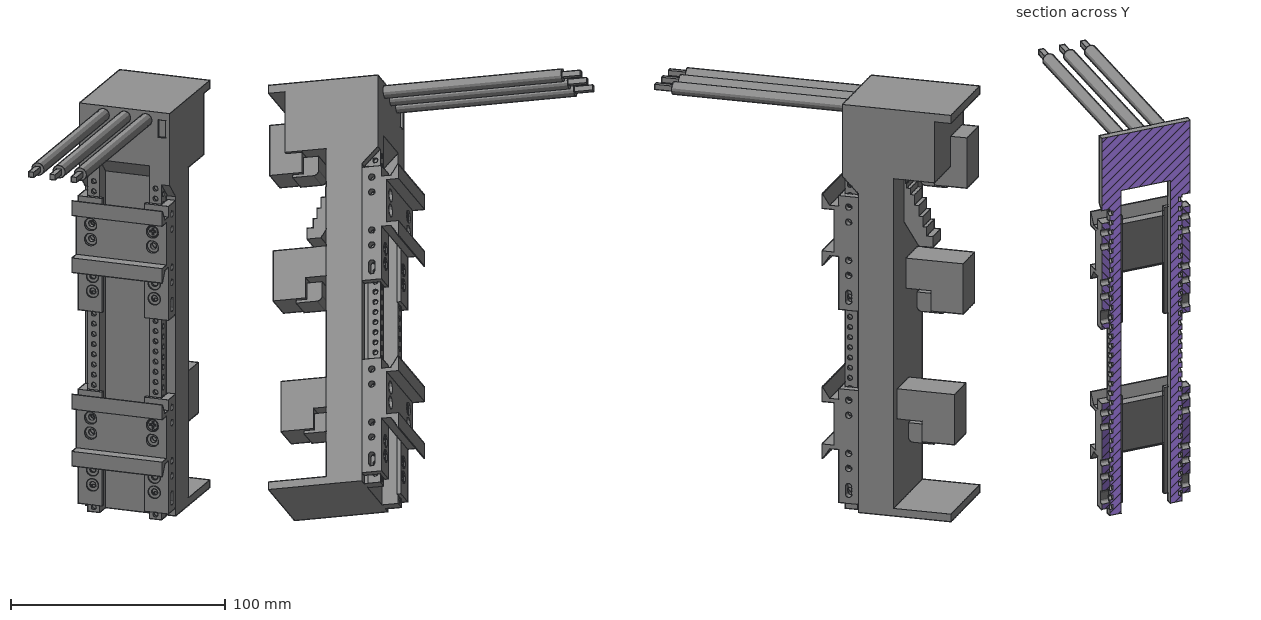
import cadquery as cq


width = 45.0
half_width = width / 2
height = 200.0
depth = 53.0
back_y = 25.0
head_y = 45.0
head_z = 166.0
flange_thickness = 4.0
foot_thickness = 3.8

floor_y = 7.8
rail_inner_x = 12.5
rail_outer_x = 18.5
rail_x = (rail_inner_x + rail_outer_x) / 2
side_recess_z = 164.5
centre_recess_z = 173.2
groove_depth = 0.5
groove_height = 1.8
rail_hole_diameter = 2.5
rail_hole_depth = 1.5
rail_hole_pitch = 5.0
front_hole_z = 2.5
front_hole_count = 33
side_hole_z = 4.5
side_hole_y = 2.5
side_hole_count = 32

pocket_width = 3.8
pocket_height = 8.5
pocket_depth = 1.2
pocket_x = 18.5
pocket_z = 192.0

hook_width = 18.0
hook_top_z = 180.8
hook_pitch = 60.0
hook_height = 24.8
hook_neck_height = hook_top_z - head_z
hook_tip_y = 37.2
hook_left_x = [-20.5, -14.5, -1.2]
contact_inset = 2.0
contact_near_y = 29.8
contact_far_y = 42.5
contact_gap = 2.0
contact_overhang = 1.5
contact_radius = 2.5

lever_width = 12.0
lever_top_reach = 0.5
lever_top_z = 164.5
lever_tip_reach = 14.0
lever_steps = [
    (1.2, 158.5),
    (3.0, 156.2),
    (5.0, 153.2),
    (7.2, 148.2),
    (9.2, 143.0),
    (11.0, 138.0),
    (lever_tip_reach, 133.5),
]
lever_heel_reach = 7.2
lever_bottom_z = 128.2
lever_root_z = 139.5

carrier_top_z = [155.0, 60.0]
carrier_height = 56.0
carrier_front_y = -1.8
carrier_inner_x = 10.5
plate_y = -4.2
din_axis_drop = 17.5
jaw_tip_y = -10.0
jaw_tip_thickness = 0.5
jaw_root_y = -6.2
jaw_inner = 10.5
jaw_outer = 12.5
screw_drops = [12.5, 20.0, 38.8, 46.2]
screw_seat_diameter = 6.0
plate_seat_depth = 1.5
leg_seat_depth = 0.5
screw_hole_diameter = 3.0
side_bore_y = 3.0
side_bore_diameter = 3.0
side_bore_drops = [5.2, 12.5, 31.5, 38.8]
side_slot_drop = 49.5
side_slot_length = 6.8

screw_head_diameter = 5.0
screw_head_thickness = 1.0
cross_length = 3.2
cross_width = 0.8
cross_depth = 0.5

cable_diameter = 6.0
cable_pitch = 10.5
cable_z = 195.5
cable_length = 86.2
conductor_side = 2.5
conductor_length = 8.8


def box(x_range, y_range, z_range):
    """Axis-aligned block between the given limits."""
    (x0, x1), (y0, y1), (z0, z1) = x_range, y_range, z_range
    return cq.Workplane("XY").box(x1 - x0, y1 - y0, z1 - z0, centered=False).translate((x0, y0, z0))


def side_profile(points, x_start, x_end):
    """Prism with a (y, z) outline, running along X."""
    return cq.Workplane("YZ").workplane(offset=x_start).polyline(points).close().extrude(x_end - x_start)


def bore_y(x, z, diameter, y_start, y_end):
    """Cylinder along Y."""
    length = y_end - y_start
    axis = cq.Vector(0, 1, 0)
    return cq.Workplane(cq.Solid.makeCylinder(diameter / 2, length, cq.Vector(x, y_start, z), axis))


def bore_x(y, z, diameter, x_start, x_end):
    """Cylinder along X."""
    length = x_end - x_start
    axis = cq.Vector(1, 0, 0)
    return cq.Workplane(cq.Solid.makeCylinder(diameter / 2, length, cq.Vector(x_start, y, z), axis))


def compound(shapes):
    """Tools gathered in one workplane, for a single cut."""
    return cq.Workplane(cq.Compound.makeCompound([shape.val() for shape in shapes]))


def make_hook(left_x, top_z):
    """Busbar hook with a contact behind its tip, both part of the housing."""
    neck_z = top_z - hook_neck_height
    bottom_z = top_z - hook_height
    outline = [
        (back_y, top_z),
        (depth, top_z),
        (depth, bottom_z),
        (hook_tip_y, bottom_z),
        (hook_tip_y, neck_z),
        (back_y, neck_z),
    ]
    right_x = left_x + hook_width
    contact = box(
        (left_x + contact_inset, right_x - contact_inset),
        (contact_near_y, contact_far_y),
        (bottom_z - contact_overhang, neck_z - contact_gap),
    )
    contact = contact.edges("|X and <Y and <Z").fillet(contact_radius)
    return side_profile(outline, left_x, right_x).union(contact)


def make_lever():
    """Lever on the busbar side: a slim top, stepped ledges and a sloped underside."""
    outline = [(back_y, lever_top_z), (back_y + lever_top_reach, lever_top_z)]
    for reach, ledge_z in lever_steps:
        outline.append((outline[-1][0], ledge_z))
        outline.append((back_y + reach, ledge_z))
    outline += [
        (back_y + lever_tip_reach, lever_bottom_z),
        (back_y + lever_heel_reach, lever_bottom_z),
        (back_y, lever_root_z),
    ]
    return side_profile(outline, -lever_width / 2, lever_width / 2)


def recess(x_start, x_end, top_z):
    """Recess open at the bottom and to the mounting side, with a 45 degree top."""
    outline = [(0, 0), (0, top_z), (floor_y, top_z - floor_y), (floor_y, 0)]
    return side_profile(outline, x_start, x_end)


def rail_holes():
    """Blind holes in the front and the outer side of the right rail."""
    tools = []
    for index in range(front_hole_count):
        z = front_hole_z + index * rail_hole_pitch
        tools.append(bore_y(rail_x, z, rail_hole_diameter, 0, rail_hole_depth))
    for index in range(side_hole_count):
        z = side_hole_z + index * rail_hole_pitch
        inner_x = rail_outer_x - rail_hole_depth
        tools.append(bore_x(side_hole_y, z, rail_hole_diameter, inner_x, rail_outer_x))
    return compound(tools)


def make_housing():
    """Column with head, foot, rails, hooks and latch lever."""
    outline = [
        (0, 0),
        (depth, 0),
        (depth, foot_thickness),
        (back_y, foot_thickness),
        (back_y, head_z),
        (head_y, head_z),
        (head_y, height - flange_thickness),
        (depth, height - flange_thickness),
        (depth, height),
        (0, height),
    ]
    body = side_profile(outline, -half_width, half_width)

    body = body.cut(recess(-rail_inner_x, rail_inner_x, centre_recess_z))
    side_recess = recess(rail_outer_x, half_width, side_recess_z)
    groove = box(
        (rail_outer_x - groove_depth, rail_outer_x),
        (floor_y - groove_height, floor_y),
        (0, side_recess_z - floor_y),
    )
    holes = rail_holes()
    for tool in (side_recess, groove, holes):
        body = body.cut(tool).cut(tool.mirror("YZ"))

    pocket = box(
        (pocket_x - pocket_width / 2, pocket_x + pocket_width / 2),
        (0, pocket_depth),
        (pocket_z - pocket_height / 2, pocket_z + pocket_height / 2),
    )
    body = body.cut(pocket)

    for index, left_x in enumerate(hook_left_x):
        body = body.union(make_hook(left_x, hook_top_z - index * hook_pitch))
    return body.union(make_lever())


def screw_seat(drop):
    """Face of the carrier and floor of its counterbore, at the given distance below its top."""
    on_plate = abs(drop - din_axis_drop) < jaw_inner
    face_y = plate_y if on_plate else carrier_front_y
    seat_depth = plate_seat_depth if on_plate else leg_seat_depth
    return face_y, face_y + seat_depth


def make_jaw(axis_z, direction):
    """Half of the DIN rail plate with its hooked jaw, above (+1) or below (-1) the rail axis."""
    outline = [
        (carrier_front_y, axis_z),
        (carrier_front_y, axis_z + direction * jaw_outer),
        (jaw_root_y, axis_z + direction * jaw_outer),
        (jaw_tip_y + jaw_tip_thickness, axis_z + direction * din_axis_drop),
        (jaw_tip_y, axis_z + direction * din_axis_drop),
        (jaw_tip_y, axis_z + direction * jaw_inner),
        (plate_y, axis_z + direction * jaw_inner),
        (plate_y, axis_z),
    ]
    return side_profile(outline, -half_width, half_width)


def carrier_leg_bores(top_z):
    """Holes in the right leg of a carrier."""
    tools = []
    for drop in screw_drops:
        z = top_z - drop
        face_y, seat_y = screw_seat(drop)
        tools.append(bore_y(rail_x, z, screw_hole_diameter, face_y, 0))
        tools.append(bore_y(rail_x, z, screw_seat_diameter, face_y, seat_y))
    for drop in side_bore_drops:
        tools.append(bore_x(side_bore_y, top_z - drop, side_bore_diameter, rail_outer_x, half_width))
    slot = (
        cq.Workplane("YZ")
        .workplane(offset=rail_outer_x)
        .center(side_bore_y, top_z - side_slot_drop)
        .slot2D(side_slot_length, side_bore_diameter, 90)
        .extrude(half_width - rail_outer_x)
    )
    tools.append(slot)
    return tools


def make_carrier(top_z):
    """DIN rail plate on two legs that bear on the rails of the housing."""
    z_range = (top_z - carrier_height, top_z)
    leg = box((carrier_inner_x, half_width), (carrier_front_y, 0), z_range)
    leg = leg.union(box((rail_outer_x, half_width), (0, floor_y), z_range))
    axis_z = top_z - din_axis_drop
    plate = make_jaw(axis_z, 1).union(make_jaw(axis_z, -1))
    body = plate.union(leg).union(leg.mirror("YZ"))
    for tool in carrier_leg_bores(top_z):
        body = body.cut(tool).cut(tool.mirror("YZ"))
    return body


def make_screw(z):
    """Cross-head screw that reaches through the carrier into the rail."""
    seat_y = plate_y + plate_seat_depth
    crown_y = seat_y - screw_head_thickness
    screw = bore_y(rail_x, z, screw_head_diameter, crown_y, seat_y)
    screw = screw.union(bore_y(rail_x, z, rail_hole_diameter, seat_y, rail_hole_depth))
    for arm_x, arm_z in ((cross_length, cross_width), (cross_width, cross_length)):
        arm = box(
            (rail_x - arm_x / 2, rail_x + arm_x / 2),
            (crown_y, crown_y + cross_depth),
            (z - arm_z / 2, z + arm_z / 2),
        )
        screw = screw.cut(arm)
    return screw


def make_cable(x):
    """Insulated cable with a bare square conductor at its end."""
    insulation = bore_y(x, cable_z, cable_diameter, -cable_length, 0)
    half_side = conductor_side / 2
    conductor = box(
        (x - half_side, x + half_side),
        (-cable_length - conductor_length, -cable_length),
        (cable_z - half_side, cable_z + half_side),
    )
    return insulation.union(conductor)


housing = make_housing()
carriers = [make_carrier(top_z) for top_z in carrier_top_z]
screws = [make_screw(top_z - screw_drops[0]) for top_z in carrier_top_z]
cables = [make_cable(index * cable_pitch) for index in (-1, 0, 1)]

bodies = [housing, *carriers, *screws, *cables]
result = cq.Compound.makeCompound([body.solids().val() for body in bodies])